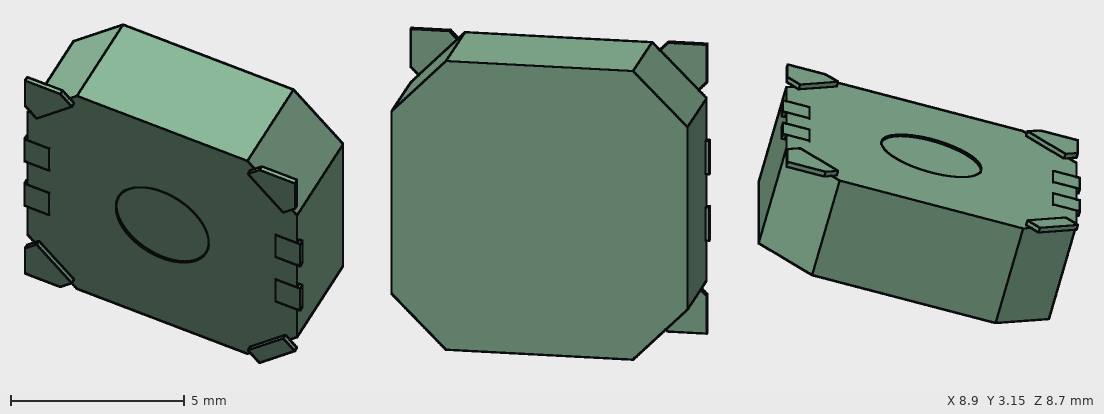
import cadquery as cq

housing_side = 8.7
housing_depth = 3.0
housing_chamfer = 1.6
recess_diameter = 3.0
recess_depth = 0.05

overall_width = 8.9
lead_length = 0.8
lead_height = 1.0
lead_pitch = 2.0
lead_thickness = 0.15

pad_thickness = 0.15
pad_edge = 1.14
pad_step = 0.37

half_side = housing_side / 2


def make_lead(side, level):
    """One lead on the -X or +X side, its front flush with the housing front."""
    center_x = side * (overall_width - lead_length) / 2
    center_z = level * lead_pitch / 2
    return (
        cq.Workplane("XY")
        .box(lead_length, lead_thickness, lead_height)
        .translate((center_x, lead_thickness / 2, center_z))
    )


def make_pad(side, level, square_corner):
    """One pad at the corner given by the signs of X and Z."""
    inset_points = [
        (pad_edge, 0),
        (pad_edge + pad_step, pad_step),
        (pad_step, pad_edge + pad_step),
        (0, pad_edge),
    ]
    if square_corner:
        inset_points.append((0, 0))
    outline = [(side * (half_side - x), level * (half_side - z)) for x, z in inset_points]
    return cq.Workplane("XZ").polyline(outline).close().extrude(pad_thickness)


def make_housing(leads):
    """Chamfered block with a shallow round recess and a pocket for each lead."""
    block = (
        cq.Workplane("XZ")
        .rect(housing_side, housing_side)
        .extrude(-housing_depth)
        .edges("|Y")
        .chamfer(housing_chamfer)
    )
    recess = cq.Workplane("XZ").circle(recess_diameter / 2).extrude(-recess_depth)
    block = block.cut(recess)
    for lead in leads:
        block = block.cut(lead)
    return block


leads = []
pads = []
for side in (-1, 1):
    for level in (-1, 1):
        leads.append(make_lead(side, level))
        is_bar = side > 0 and level < 0
        pads.append(make_pad(side, level, square_corner=not is_bar))

housing = make_housing(leads)

result = cq.Compound.makeCompound([
    housing.val(),
    *[lead.val() for lead in leads],
    *[pad.val() for pad in pads],
])